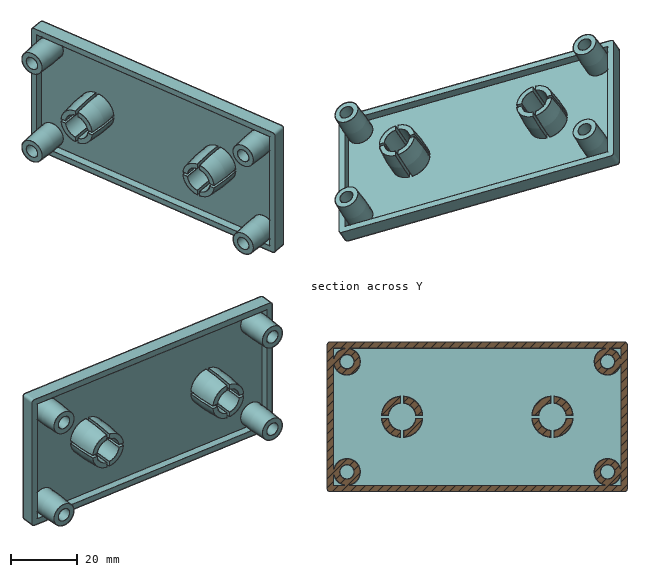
import cadquery as cq

length = 90.0
height = 45.0
overall_depth = 13.1
post_reach = 8.0
plate_depth = overall_depth - post_reach
edge_radius = 1.0
wall = 2.0
floor_thickness = 2.6
cavity_depth = plate_depth - floor_thickness

straight_reach = 2.4
straight_length = cavity_depth + straight_reach

post_diameter = 8.0
post_tip_diameter = 7.5
post_bore = 4.2
post_spacing_x = length - 2 * wall - post_diameter
post_spacing_z = height - 2 * wall - post_diameter

clip_diameter = 12.4
clip_tip_diameter = 11.5
clip_bore = 8.2
clip_spacing = length / 2
slot_width = 0.9

floor_y = cavity_depth
tip_y = -post_reach


def y_box(size_x, size_z, start_y, size_y):
    """Box centred on the Y axis, running toward +Y from start_y."""
    return cq.Workplane("XY").box(size_x, size_y, size_z).translate((0, start_y + size_y / 2, 0))


def make_tray():
    """Shallow tray with rounded corners and a rounded back edge."""
    body = y_box(length, height, 0, plate_depth)
    body = body.edges("|Y").fillet(edge_radius)
    body = body.faces(">Y").edges().fillet(edge_radius)
    cavity = y_box(length - 2 * wall, height - 2 * wall, 0, cavity_depth)
    return body.cut(cavity)


def make_tube(diameter, tip_diameter, bore):
    """Tube from the cavity floor: straight root, tapered tip, bore down to the floor."""
    half_profile = [
        (floor_y, bore / 2),
        (floor_y, diameter / 2),
        (floor_y - straight_length, diameter / 2),
        (tip_y, tip_diameter / 2),
        (tip_y, bore / 2),
    ]
    return cq.Workplane("YZ").polyline(half_profile).close().revolve(360, (0, 0), (1, 0))


def make_clip():
    """Tube split into four fingers by crossed slots."""
    clip = make_tube(clip_diameter, clip_tip_diameter, clip_bore)
    slot_length = cavity_depth + post_reach
    clip = clip.cut(y_box(clip_diameter, slot_width, tip_y, slot_length))
    return clip.cut(y_box(slot_width, clip_diameter, tip_y, slot_length))


result = make_tray()

post = make_tube(post_diameter, post_tip_diameter, post_bore)
for side_x in (-1, 1):
    for side_z in (-1, 1):
        result = result.union(post.translate((side_x * post_spacing_x / 2, 0, side_z * post_spacing_z / 2)))

clip = make_clip()
for side_x in (-1, 1):
    result = result.union(clip.translate((side_x * clip_spacing / 2, 0, 0)))